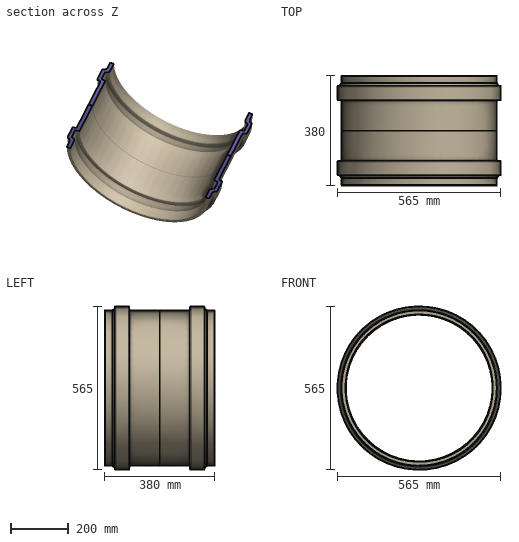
import cadquery as cq

total_length = 380.0
half_length = total_length / 2

bore_radius = 505.96 / 2
mouth_bore_radius = 507.89 / 2
tube_radius = 537.73 / 2
collar_radius = 565.0 / 2

mouth_rim_outer_radius = 535.69 / 2
mouth_rim_inner_radius = 509.75 / 2
joint_rim_inner_radius = mouth_bore_radius
chamfer_length = 2.0
mouth_lead_in_length = 3.0

collar_start = 35.0
collar_end = 85.5
collar_edge_fillet = 4.0
collar_foot_fillet = 3.5

cone_start = 26.5
cone_top_radius = tube_radius + 5.5
cone_foot_fillet = 3.0
cone_top_fillet = 1.5

groove_radius = 268.0
groove_wall_lip = 77.0
groove_wall_foot = 74.5
groove_cone_lip = 38.5
groove_cone_foot = 46.0
groove_foot_fillet = 5.0
groove_cone_lip_fillet = 3.5
groove_wall_lip_fillet = 1.5


def at(radius, from_mouth):
    """Profile point at a radius and a distance from the mouth, with the joint at Y = 0."""
    return (radius, from_mouth - half_length)


def ring_edge(body, radius, from_mouth):
    """The circular edge of the body with this radius at this distance from the mouth."""
    tolerance = 1e-3
    y = from_mouth - half_length
    for edge in body.edges("%CIRCLE").vals():
        same_place = abs(edge.Center().y - y) < tolerance
        if same_place and abs(edge.radius() - radius) < tolerance:
            return edge
    raise ValueError("no circular edge at this place")


def round_edges(body):
    """Round the edges of the lead-up cone, the collar and the seal groove."""
    fillets = [
        (cone_top_radius, collar_start, cone_top_fillet),
        (collar_radius, collar_start, collar_edge_fillet),
        (collar_radius, collar_end, collar_edge_fillet),
        (tube_radius, collar_end, collar_foot_fillet),
        (tube_radius, cone_start, cone_foot_fillet),
        (mouth_bore_radius, groove_cone_lip, groove_cone_lip_fillet),
        (groove_radius, groove_cone_foot, groove_foot_fillet),
        (bore_radius, groove_wall_lip, groove_wall_lip_fillet),
    ]
    for radius, from_mouth, fillet_radius in fillets:
        body = body.newObject([ring_edge(body, radius, from_mouth)]).fillet(fillet_radius)
    return body


def socket_half():
    """Half of the coupling, from its mouth at Y = -half_length to the joint at Y = 0."""
    profile = [
        at(mouth_rim_inner_radius, 0),
        at(mouth_rim_outer_radius, 0),
        at(tube_radius, chamfer_length),
        at(tube_radius, cone_start),
        at(cone_top_radius, collar_start),
        at(collar_radius, collar_start),
        at(collar_radius, collar_end),
        at(tube_radius, collar_end),
        at(tube_radius, half_length),
        at(joint_rim_inner_radius, half_length),
        at(bore_radius, half_length - chamfer_length),
        at(bore_radius, groove_wall_lip),
        at(groove_radius, groove_wall_foot),
        at(groove_radius, groove_cone_foot),
        at(mouth_bore_radius, groove_cone_lip),
        at(mouth_bore_radius, mouth_lead_in_length),
    ]
    body = cq.Workplane("XY").polyline(profile).close().revolve(360, (0, 0, 0), (0, 1, 0))
    return round_edges(body)


front_half = socket_half()
back_half = front_half.mirror("XZ")

result = cq.Compound.makeCompound([front_half.val(), back_half.val()])